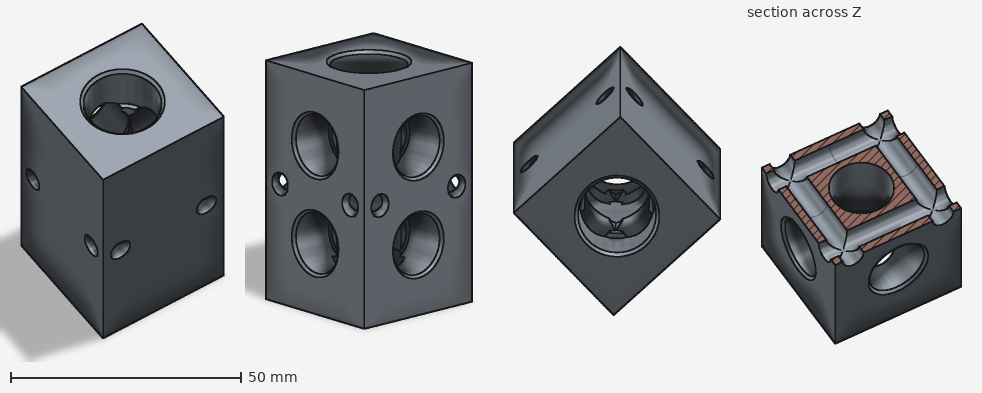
import cadquery as cq

width = 31.75
height = 54.0

main_bore_diameter = 14.05
main_port_mouth_diameter = 18.4
main_port_top_diameter = 16.95
main_port_floor_diameter = 16.3
main_port_depth = 10.45

side_bore_diameter = 11.25
side_port_mouth_diameter = 15.0
side_port_top_diameter = 13.7
side_port_floor_diameter = 13.15
side_port_depth = 10.0
side_port_offset = 11.05

mounting_hole_diameter = 5.15
mounting_hole_offset = 11.3


def port_cutter(mouth, top, floor, depth, bore, reach):
    """Port opening at Z = 0 and running down: 45 degree chamfer, tapered wall, flat floor, bore."""
    chamfer = (mouth - top) / 2
    return (
        cq.Workplane("XZ")
        .polyline([
            (0, 0),
            (mouth / 2, 0),
            (top / 2, -chamfer),
            (floor / 2, -depth),
            (bore / 2, -depth),
            (bore / 2, -reach),
            (0, -reach),
        ])
        .close()
        .revolve(360, (0, 0, 0), (0, 1, 0))
    )


block = cq.Workplane("XY").box(width, width, height)

end_port = port_cutter(
    main_port_mouth_diameter,
    main_port_top_diameter,
    main_port_floor_diameter,
    main_port_depth,
    main_bore_diameter,
    height / 2,
).translate((0, 0, height / 2))
block = block.cut(end_port).cut(end_port.mirror("XY"))

side_port = port_cutter(
    side_port_mouth_diameter,
    side_port_top_diameter,
    side_port_floor_diameter,
    side_port_depth,
    side_bore_diameter,
    width / 2,
).translate((0, 0, width / 2))
left_port = side_port.rotate((0, 0, 0), (0, 1, 0), -90)
back_port = side_port.rotate((0, 0, 0), (1, 0, 0), -90)
for level in (-side_port_offset, side_port_offset):
    for port in (left_port, back_port):
        block = block.cut(port.translate((0, 0, level)))

for plane in ("YZ", "XZ"):
    holes = (
        cq.Workplane(plane)
        .pushPoints([(-mounting_hole_offset, 0), (mounting_hole_offset, 0)])
        .circle(mounting_hole_diameter / 2)
        .extrude(width / 2, both=True)
    )
    block = block.cut(holes)

result = block